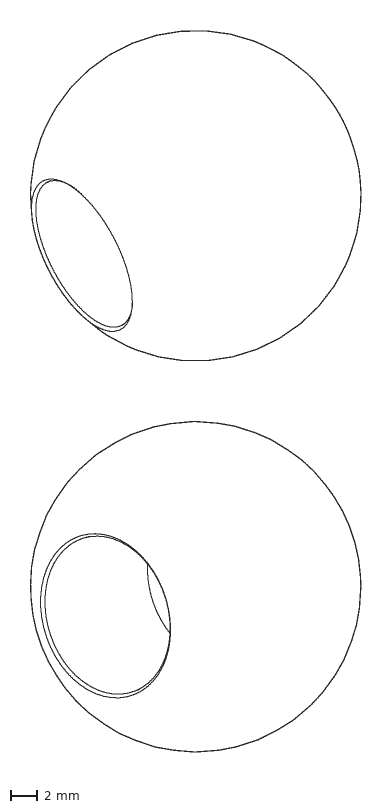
import cadquery as cq
import math

ball_radius = 12.5
flat_distance = 10.78
flat_radius = math.sqrt(ball_radius**2 - flat_distance**2)

bore_radius = 6.1
bore_depth = 12.5
drill_point_angle = 118.0
point_depth = bore_radius / math.tan(math.radians(drill_point_angle / 2))

chamfer = flat_radius - bore_radius

mouth_y = -flat_distance
shoulder_y = mouth_y + bore_depth
tip_y = shoulder_y + point_depth

half_section = (
    cq.Workplane("XY")
    .moveTo(0, tip_y)
    .lineTo(bore_radius, shoulder_y)
    .lineTo(bore_radius, mouth_y + chamfer)
    .lineTo(flat_radius, mouth_y)
    .threePointArc((ball_radius, 0), (0, ball_radius))
    .close()
)

result = half_section.revolve(360, (0, 0, 0), (0, 1, 0))